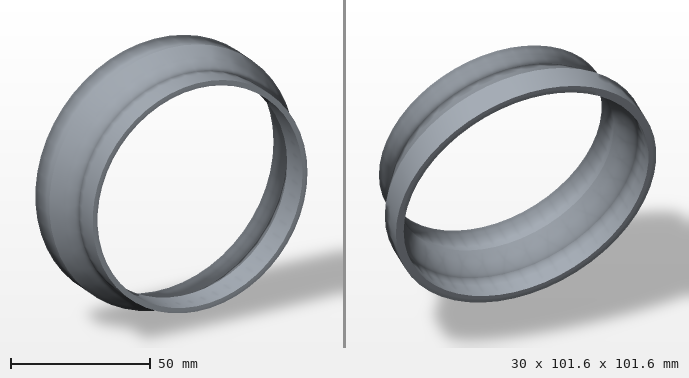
import cadquery as cq

large_outer_diameter = 101.6
large_wall = 3.0
small_outer_diameter = 88.9
small_wall = 2.0
overall_length = 30.0

section_length = overall_length / 3
taper_start = section_length
taper_end = 2 * section_length
bore_taper_lead = 1.0
bore_taper_end = taper_end - bore_taper_lead

large_outer_radius = large_outer_diameter / 2
large_inner_radius = large_outer_radius - large_wall
small_outer_radius = small_outer_diameter / 2
small_inner_radius = small_outer_radius - small_wall

wall_section = (
    cq.Workplane("XY")
    .moveTo(0, large_inner_radius)
    .lineTo(0, large_outer_radius)
    .lineTo(taper_start, large_outer_radius)
    .lineTo(taper_end, small_outer_radius)
    .lineTo(overall_length, small_outer_radius)
    .lineTo(overall_length, small_inner_radius)
    .lineTo(bore_taper_end, small_inner_radius)
    .lineTo(taper_start, large_inner_radius)
    .close()
)

result = wall_section.revolve(360, (0, 0, 0), (1, 0, 0))